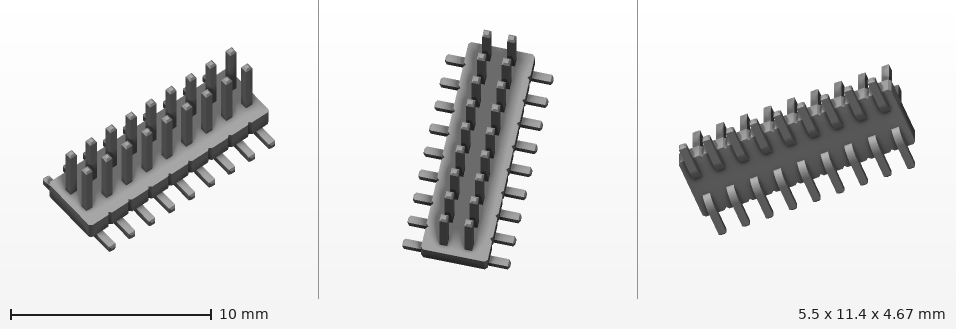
import cadquery as cq
import math

length = 11.43
foot_span = 5.5
total_height = 4.67
pins_per_row = 9
pitch = length / pins_per_row

body_width = 3.4
body_height = 1.01
body_bottom = 0.5
corner_chamfer = pitch / 10

pin_size = 0.4
bend_inner_radius = pin_size
bend_outer_radius = bend_inner_radius + pin_size
tip_chamfer = pin_size / 4

post_inner = (pitch - pin_size) / 2
post_outer = post_inner + pin_size
bend_center_x = post_outer + bend_inner_radius
bend_center_z = bend_outer_radius
post_shoulder = total_height - tip_chamfer
foot_shoulder = foot_span / 2 - tip_chamfer


def make_body_segment(center_y):
    """One pitch of the body, with all four vertical corners cut off."""
    half_width = body_width / 2
    half_pitch = pitch / 2
    end_half_width = half_width - corner_chamfer
    side_half_length = half_pitch - corner_chamfer
    outline = [
        (-half_width, -side_half_length),
        (-end_half_width, -half_pitch),
        (end_half_width, -half_pitch),
        (half_width, -side_half_length),
        (half_width, side_half_length),
        (end_half_width, half_pitch),
        (-end_half_width, half_pitch),
        (-half_width, side_half_length),
    ]
    segment = cq.Workplane("XY").polyline(outline).close().extrude(body_height)
    return segment.translate((0, center_y, body_bottom))


def make_tip(plane):
    """Square pin end with a 45 degree chamfer along all four edges."""
    return cq.Workplane(plane).rect(pin_size, pin_size).extrude(tip_chamfer, taper=45)


def make_pin():
    """Pin of the +X row, centered on Y = 0."""
    diagonal = math.sqrt(0.5)
    outer_mid = (
        bend_center_x - bend_outer_radius * diagonal,
        bend_center_z - bend_outer_radius * diagonal,
    )
    inner_mid = (
        bend_center_x - bend_inner_radius * diagonal,
        bend_center_z - bend_inner_radius * diagonal,
    )
    wire = (
        cq.Workplane("XZ")
        .moveTo(post_inner, post_shoulder)
        .lineTo(post_inner, bend_center_z)
        .threePointArc(outer_mid, (bend_center_x, 0))
        .lineTo(foot_shoulder, 0)
        .lineTo(foot_shoulder, pin_size)
        .lineTo(bend_center_x, pin_size)
        .threePointArc(inner_mid, (post_outer, bend_center_z))
        .lineTo(post_outer, post_shoulder)
        .close()
        .extrude(pin_size / 2, both=True)
    )
    post_tip = make_tip("XY").translate((pitch / 2, 0, post_shoulder))
    foot_tip = make_tip("YZ").translate((foot_shoulder, 0, pin_size / 2))
    return wire.union(post_tip).union(foot_tip)


row_positions = [(i - (pins_per_row - 1) / 2) * pitch for i in range(pins_per_row)]
body = make_body_segment(row_positions[0])
for y in row_positions[1:]:
    body = body.union(make_body_segment(y))
result = body.clean()

right_pin = make_pin()
left_pin = right_pin.mirror("YZ")
for y in row_positions:
    for pin in (right_pin, left_pin):
        result = result.union(pin.translate((0, y, 0)))